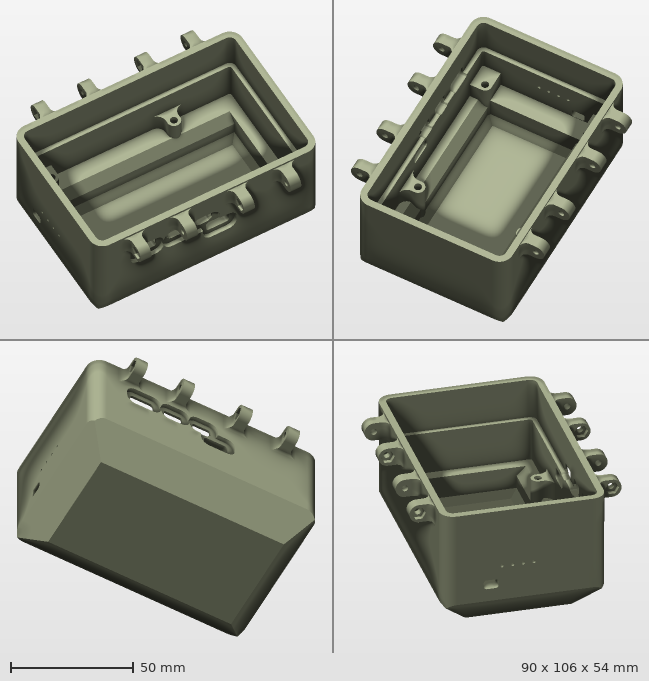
import cadquery as cq
import math

body_x = 70.0
body_y = 106.0
body_z = 54.0
corner_radius = 6.0
bevel_height = 12.4
bevel_run_x = 12.4
bevel_run_y = 10.3

upper_wall = 3.0
lower_wall = 5.0
upper_corner_radius = corner_radius - upper_wall
lower_corner_radius = corner_radius - lower_wall
ledge_z = 36.5
shelf_z = 17.8
inner_x = body_x / 2 - lower_wall
inner_y = body_y / 2 - lower_wall

well_center = (2.0, 2.0)
well_x = 40.4
well_y = 82.0
well_flare = 4.0
well_floor_z = 5.0
well_bevel_height = 3.1
well_bevel_run_x = 3.2
well_bevel_run_y = 2.8

post_x = 24.5
post_rear_y = 18.0
post_front_y = -40.0
post_radius = 3.0
post_web_radius = 4.0
post_top_z = 26.0
post_hole_diameter = 3.3
post_hole_depth = 8.0

ear_pin_x = 41.0
ear_pin_z = 49.0
ear_radius = 4.0
ear_thickness = 5.0
ear_pin_diameter = 2.75
ear_fillet = 3.0
ear_bottom_fillet = 1.0
nut_across_flats = 5.0
nut_depth = 2.0
nut_sides = 6
plain_ear_y = (35.5, -13.5)
nut_ear_y = (13.5, -35.5)
ear_embed = 1.0

led_diameter = 1.4
led_count = 4
led_pitch = 4.5
led_center_x = -3.0
led_z = 28.1
button_center = (-14.4, 20.1)
button_x = 6.3
button_z = 4.1
button_corner_radius = 1.2

port_wall = 3.0
recess_margin = 2.5
recess_corner_radius = 4.0
usb_width = 10.9
usb_height = 5.2
usb_corner_radius = 1.5
usb_centers = ((5.25, 31.9), (-29.3, 38.2))
hdmi_width = 8.3
hdmi_shoulder_width = 5.4
hdmi_bottom_width = 3.9
hdmi_top_z = 40.5
hdmi_side_z = 37.4
hdmi_shoulder_z = 35.9
hdmi_bottom_z = 35.6
hdmi_top_radius = 0.8
hdmi_centers_y = (-1.5, -14.75)


def rounded_block(size_x, size_y, radius, z_low, z_high):
    block = cq.Workplane("XY").workplane(offset=z_low).rect(size_x, size_y).extrude(z_high - z_low)
    return block.edges("|Z").fillet(radius)


def bevelled_profile(plane, half_top, run, height, length):
    """Prism along the plane's normal, tapering in over the lowest `height`."""
    return (
        cq.Workplane(plane)
        .moveTo(-half_top + run, 0)
        .lineTo(half_top - run, 0)
        .lineTo(half_top, height)
        .lineTo(half_top, body_z)
        .lineTo(-half_top, body_z)
        .lineTo(-half_top, height)
        .close()
        .extrude(length / 2, both=True)
    )


def make_hull():
    """Solid outside shape: rounded upright corners above a bevelled bottom."""
    hull = rounded_block(body_x, body_y, corner_radius, 0, body_z)
    hull = hull.intersect(bevelled_profile("XZ", body_x / 2, bevel_run_x, bevel_height, body_y))
    return hull.intersect(bevelled_profile("YZ", body_y / 2, bevel_run_y, bevel_height, body_x))


def make_well():
    """Deep pocket with flared long sides and a bevel around its floor."""
    half_x = well_x / 2
    half_y = well_y / 2
    foot_x = half_x - well_bevel_run_x
    foot_z = well_bevel_height
    depth = shelf_z - well_floor_z
    cross = (
        cq.Workplane("XZ")
        .moveTo(-foot_x, 0)
        .lineTo(foot_x, 0)
        .lineTo(half_x, foot_z)
        .lineTo(half_x, depth - well_flare)
        .lineTo(half_x + well_flare, depth)
        .lineTo(-half_x - well_flare, depth)
        .lineTo(-half_x, depth - well_flare)
        .lineTo(-half_x, foot_z)
        .close()
        .extrude(half_y, both=True)
    )
    return cross.intersect(
        bevelled_profile("YZ", half_y, well_bevel_run_y, foot_z, body_x)
    ).translate((*well_center, well_floor_z))


def make_cavity():
    upper = rounded_block(
        body_x - 2 * upper_wall, body_y - 2 * upper_wall, upper_corner_radius, ledge_z, body_z
    )
    lower = rounded_block(2 * inner_x, 2 * inner_y, lower_corner_radius, shelf_z, ledge_z)
    return upper.union(lower).union(make_well())


def arc_bend(radius):
    """Offset of a quarter arc's midpoint from the two lines it is tangent to."""
    return radius * (1 - math.sqrt(0.5))


def flared_web(wall_x, end_x, half_width, radius, center_y):
    """Outline of a web leaving a wall at wall_x towards +X, with a concave fillet on each side."""
    bend = arc_bend(radius)
    low_y = center_y - half_width
    high_y = center_y + half_width
    return (
        cq.Workplane("XY")
        .moveTo(wall_x, low_y - radius)
        .threePointArc((wall_x + bend, low_y - bend), (wall_x + radius, low_y))
        .lineTo(end_x, low_y)
        .lineTo(end_x, high_y)
        .lineTo(wall_x + radius, high_y)
        .threePointArc((wall_x + bend, high_y + bend), (wall_x, high_y + radius))
        .close()
    )


def make_left_posts():
    """A webbed post behind and a corner block in front, both running down to the bottom."""
    rear = flared_web(-inner_x, -post_x, post_radius, post_web_radius, post_rear_y).extrude(post_top_z)
    rear = rear.union(
        cq.Workplane("XY").center(-post_x, post_rear_y).circle(post_radius).extrude(post_top_z)
    )
    front = (
        cq.Workplane("XY")
        .moveTo(-body_x / 2, -body_y / 2)
        .lineTo(-post_x + post_radius, -body_y / 2)
        .lineTo(-post_x + post_radius, post_front_y)
        .radiusArc((-post_x, post_front_y + post_radius), -post_radius)
        .lineTo(-body_x / 2, post_front_y + post_radius)
        .close()
        .extrude(post_top_z)
    )
    return rear.union(front)


def make_post_holes():
    spots = [(x, y) for x in (-post_x, post_x) for y in (post_rear_y, post_front_y)]
    return (
        cq.Workplane("XY")
        .workplane(offset=post_top_z - post_hole_depth)
        .pushPoints(spots)
        .circle(post_hole_diameter / 2)
        .extrude(post_hole_depth)
    )


def make_right_ear(center_y, has_nut):
    wall_x = body_x / 2
    half = ear_thickness / 2
    ear_low_z = ear_pin_z - ear_radius
    bottom_z = ear_low_z - ear_bottom_fillet
    outline = flared_web(wall_x, ear_pin_x + ear_radius, half, ear_fillet, center_y)
    ear = outline.extrude(body_z)

    bend = arc_bend(ear_bottom_fillet)
    side = (
        cq.Workplane("XZ", origin=(0, center_y, 0))
        .moveTo(wall_x, bottom_z)
        .threePointArc((wall_x + bend, ear_low_z - bend), (wall_x + ear_bottom_fillet, ear_low_z))
        .lineTo(ear_pin_x, ear_low_z)
        .threePointArc((ear_pin_x + ear_radius, ear_pin_z), (ear_pin_x, ear_pin_z + ear_radius))
        .lineTo(wall_x, ear_pin_z + ear_radius)
        .close()
        .extrude(half + ear_fillet, both=True)
    )
    root = cq.Workplane("XY").box(ear_embed, ear_thickness, 2 * ear_radius).translate(
        (wall_x - ear_embed / 2, center_y, ear_pin_z)
    )
    ear = ear.intersect(side).union(root)

    pin_plane = cq.Workplane("XZ", origin=(ear_pin_x, center_y - half, ear_pin_z))
    ear = ear.cut(pin_plane.circle(ear_pin_diameter / 2).extrude(-ear_thickness))
    if has_nut:
        nut_across_corners = nut_across_flats / math.cos(math.pi / nut_sides)
        ear = ear.cut(pin_plane.polygon(nut_sides, nut_across_corners).extrude(-nut_depth))
    return ear


def make_right_ears():
    ears = [make_right_ear(y, False) for y in plain_ear_y]
    ears += [make_right_ear(y, True) for y in nut_ear_y]
    group = ears[0]
    for ear in ears[1:]:
        group = group.union(ear)
    return group


def make_front_openings():
    front = cq.Workplane("XZ", origin=(0, -body_y / 2, 0))
    first_x = led_center_x - led_pitch * (led_count - 1) / 2
    leds = [(first_x + i * led_pitch, led_z) for i in range(led_count)]
    openings = front.pushPoints(leds).circle(led_diameter / 2).extrude(-lower_wall)
    button = front.center(*button_center).rect(button_x, button_z).extrude(-lower_wall)
    return openings.union(button.edges("|Y").fillet(button_corner_radius))


def port_block(center_y, center_z, width, height, radius, start_x, end_x):
    block = (
        cq.Workplane("YZ", origin=(start_x, center_y, center_z))
        .rect(width, height)
        .extrude(end_x - start_x)
    )
    return block.edges("|X").fillet(radius)


def make_port_recess(center_y, center_z, width, height):
    """Plug clearance in the outside of the wall around a port."""
    return port_block(
        center_y,
        center_z,
        width + 2 * recess_margin,
        height + 2 * recess_margin,
        recess_corner_radius,
        inner_x + port_wall,
        body_x / 2,
    )


def make_usb_port(center_y, center_z):
    port = port_block(
        center_y, center_z, usb_width, usb_height, usb_corner_radius, inner_x, body_x / 2
    )
    return port.union(make_port_recess(center_y, center_z, usb_width, usb_height))


def make_hdmi_port(center_y):
    """Opening that narrows towards its bottom, with a wider recess outside."""
    port = (
        cq.Workplane("YZ", origin=(inner_x, center_y, 0))
        .moveTo(-hdmi_bottom_width / 2, hdmi_bottom_z)
        .lineTo(hdmi_bottom_width / 2, hdmi_bottom_z)
        .lineTo(hdmi_shoulder_width / 2, hdmi_shoulder_z)
        .lineTo(hdmi_width / 2, hdmi_side_z)
        .lineTo(hdmi_width / 2, hdmi_top_z)
        .lineTo(-hdmi_width / 2, hdmi_top_z)
        .lineTo(-hdmi_width / 2, hdmi_side_z)
        .lineTo(-hdmi_shoulder_width / 2, hdmi_shoulder_z)
        .close()
        .extrude(body_x / 2 - inner_x)
        .edges("|X and >Z")
        .fillet(hdmi_top_radius)
    )
    center_z = (hdmi_bottom_z + hdmi_top_z) / 2
    return port.union(make_port_recess(center_y, center_z, hdmi_width, hdmi_top_z - hdmi_bottom_z))


hull = make_hull()
left_posts = make_left_posts()
posts = left_posts.union(left_posts.mirror("YZ")).intersect(hull)
right_ears = make_right_ears()

case = hull.cut(make_cavity()).union(posts).cut(make_post_holes())
case = case.union(right_ears).union(right_ears.mirror("YZ"))
case = case.cut(make_front_openings())
for usb_y, usb_z in usb_centers:
    case = case.cut(make_usb_port(usb_y, usb_z))
for hdmi_y in hdmi_centers_y:
    case = case.cut(make_hdmi_port(hdmi_y))

result = case